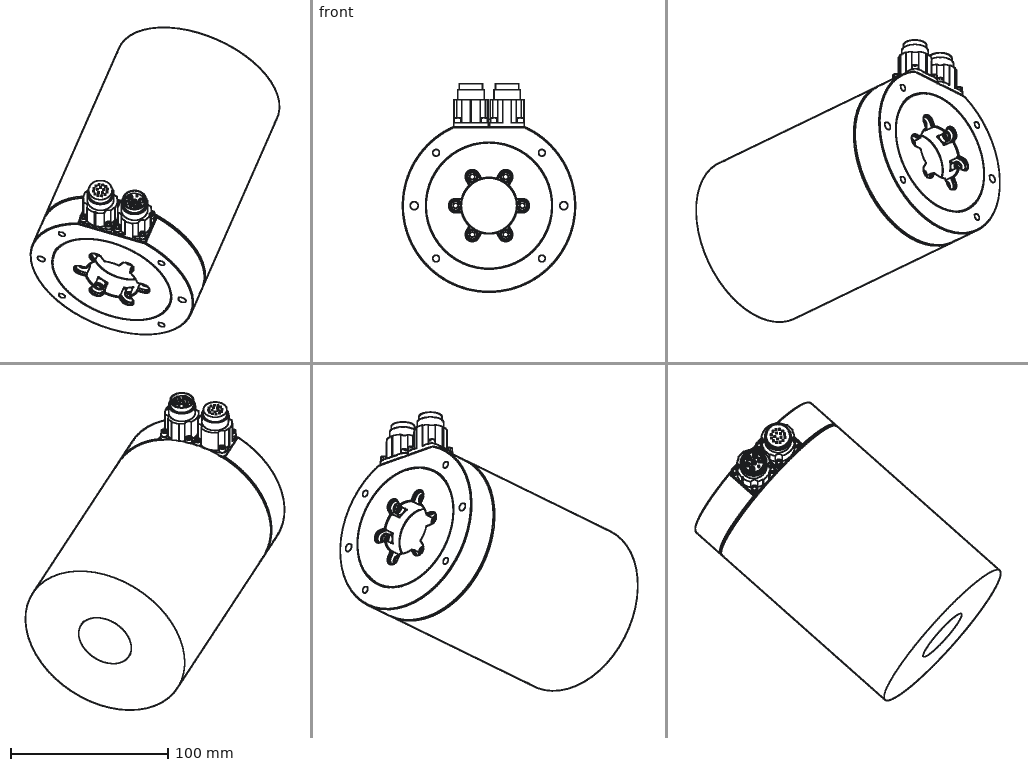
import cadquery as cq
import math


total_length = 163.0
body_dia = 110.0
neck_dia = 100.0
flange_length = 22.0
neck_gap = 1.0
flange_chamfer = 0.5
seat_height = 50.0

bore_dia = 35.0
rear_bore_dia = 36.3
front_bore_depth = 15.0
bore_rim_chamfer = 0.5
rotor_dia = 80.2
rotor_gap = 0.5
rotor_gap_depth = 1.6

mount_circle_dia = 95.0
thread_hole_dia = 4.2
pin_hole_dia = 5.0
mount_hole_depth = 9.8
pin_hole_angles = [0, 180]
thread_hole_angles = [45, 135, 225, 315]
drill_tip_angle = 118.0

screw_count = 6
screw_circle_dia = 42.4
pocket_width = 8.0
lower_pocket_width = 7.3
upper_pocket_depth = 2.0
pocket_chamfer = 0.5
pocket_depth = 8.0
head_dia = 7.0
head_height = 3.9
head_bevel = 0.7
head_socket_dia = 3.3
head_socket_depth = 2.0

connector_width = 22.0
connector_pitch = 23.0
connector_y = flange_length / 2
plate_thickness = 2.8
plate_corner_radius = 3.1
housing_dia = 21.5
housing_height = 14.5
key_width = 5.2
slit_width = 0.7
slit_depth = 0.7
collar_dia = 17.0
collar_height = 6.4
plug_dia = 15.0
plug_height = 3.9

fixing_offset = 8.5
fixing_head_dia = 4.0
fixing_head_height = 3.0
fixing_socket_dia = 2.5
fixing_socket_depth = 0.8
scoop_radius = 2.6

signal_hole_dia = 1.0
signal_hole_depth = 2.5
signal_outer_count = 12
signal_inner_count = 5
signal_inner_radius = 2.1
contact_radius = 4.4
cup_dia = 14.2
cup_depth = 4.0
insert_dia = 12.7
insert_height = 2.5
power_socket_dia = 3.3
power_socket_depth = 1.6
power_pin_dia = 1.5
power_pin_height = 3.3
power_angles = [30, 150, 210, 270, 330]
earth_pin_dia = 1.0

plate_top = seat_height + plate_thickness
housing_top = plate_top + housing_height
collar_top = housing_top + collar_height
plug_top = collar_top + plug_height
body_front = flange_length + neck_gap


def rod_y(dia, start, length, x=0.0, z=0.0):
    """Cylinder along +Y whose near end is at y = start."""
    return cq.Workplane(cq.Solid.makeCylinder(dia / 2, length, cq.Vector(x, start, z), cq.Vector(0, 1, 0)))


def rod_z(dia, bottom, height, x=0.0, y=0.0):
    """Cylinder along +Z whose lower end is at z = bottom."""
    return cq.Workplane(cq.Solid.makeCylinder(dia / 2, height, cq.Vector(x, y, bottom)))


def polar(radius, angle):
    """Plane coordinates of a point at an angle in degrees."""
    return radius * math.cos(math.radians(angle)), radius * math.sin(math.radians(angle))


def motor_shell():
    """Body, neck and flange with its connector seat, bored through."""
    flange = rod_y(body_dia, 0, flange_length)
    seat_cut = cq.Workplane("XY", origin=(0, connector_y, seat_height)).box(
        body_dia, flange_length, body_dia, centered=(True, True, False)
    )
    flange = flange.cut(seat_cut)
    flange = flange.faces("<Y or >Y").edges().chamfer(flange_chamfer)
    neck = rod_y(neck_dia, flange_length, neck_gap)
    body = rod_y(body_dia, body_front, total_length - body_front)
    shell = body.union(neck).union(flange)
    shell = shell.cut(rod_y(bore_dia, 0, total_length))
    bore_radius = bore_dia / 2
    rim = cq.Solid.makeCone(
        bore_radius + bore_rim_chamfer, bore_radius, bore_rim_chamfer, cq.Vector(), cq.Vector(0, 1, 0)
    )
    shell = shell.cut(cq.Workplane(rim))
    return shell.cut(rod_y(rear_bore_dia, front_bore_depth, total_length - front_bore_depth))


def rotor_groove():
    """Thin annular gap around the rotor face."""
    outer = rod_y(rotor_dia + rotor_gap, 0, rotor_gap_depth)
    return outer.cut(rod_y(rotor_dia - rotor_gap, 0, rotor_gap_depth))


def drilled_hole(dia, start, depth, x, z):
    """Blind hole along +Y with a conical drill tip."""
    tip_length = dia / 2 / math.tan(math.radians(drill_tip_angle / 2))
    tip = cq.Solid.makeCone(dia / 2, 0, tip_length, cq.Vector(x, start + depth, z), cq.Vector(0, 1, 0))
    return rod_y(dia, start, depth, x, z).union(cq.Workplane(tip))


def round_ended_slot(width, depth):
    """Slot along +X from the axis, cut inward from the mounting face, with its round end at the screw."""
    reach = screw_circle_dia / 2
    channel = cq.Workplane("XY", origin=(0, depth / 2, 0)).box(
        reach, depth, width, centered=(False, True, True)
    )
    return channel.union(rod_y(width, 0, depth, reach))


def screw_pocket(angle):
    """Stepped pocket from the bore out past the screw, with a chamfered rim."""
    rim_width = pocket_width + 2 * pocket_chamfer
    rim = round_ended_slot(rim_width, 2 * pocket_chamfer).faces(">Y").chamfer(pocket_chamfer)
    rim = rim.translate((0, -pocket_chamfer, 0))
    pocket = round_ended_slot(pocket_width, upper_pocket_depth).union(rim)
    pocket = pocket.union(round_ended_slot(lower_pocket_width, pocket_depth))
    return pocket.rotate((0, 0, 0), (0, 1, 0), -angle)


def rotor_screw(angle):
    """Socket head screw seated on the pocket floor."""
    x, z = polar(screw_circle_dia / 2, angle)
    head_top = pocket_depth - head_height
    head = rod_y(head_dia, head_top, head_height, x, z).faces("<Y").chamfer(head_bevel)
    return head.cut(drilled_hole(head_socket_dia, head_top, head_socket_depth, x, z))


def connector_housing():
    """Square foot, round housing, collar and plug, centred on the Z axis."""
    plate = (
        cq.Workplane("XY", origin=(0, 0, seat_height))
        .rect(connector_width, connector_width)
        .extrude(plate_thickness)
        .edges("|Z")
        .fillet(plate_corner_radius)
    )
    housing = rod_z(housing_dia, plate_top, housing_height)
    key = cq.Workplane("XY", origin=(0, 0, plate_top)).box(
        connector_width / 2, key_width, housing_height, centered=(False, True, False)
    )
    for angle in (0, 180):
        housing = housing.union(key.rotate((0, 0, 0), (0, 0, 1), angle))
    slit = cq.Workplane("XY", origin=(0, -housing_dia / 2, plate_top)).box(
        slit_width, 2 * slit_depth, housing_height, centered=(True, True, False)
    )
    housing = housing.cut(slit)
    corner = fixing_offset - scoop_radius
    scoop = (
        cq.Workplane("XY", origin=(corner, corner, plate_top))
        .rect(connector_width, connector_width, centered=False)
        .extrude(housing_height)
        .edges("|Z and <X and <Y")
        .fillet(scoop_radius)
    )
    for angle in range(0, 360, 90):
        housing = housing.cut(scoop.rotate((0, 0, 0), (0, 0, 1), angle))
    connector = plate
    for side_x in (-fixing_offset, fixing_offset):
        for side_y in (-fixing_offset, fixing_offset):
            head = rod_z(fixing_head_dia, plate_top, fixing_head_height, side_x, side_y)
            socket_bottom = plate_top + fixing_head_height - fixing_socket_depth
            socket = rod_z(fixing_socket_dia, socket_bottom, fixing_socket_depth, side_x, side_y)
            connector = connector.union(head.cut(socket))
    connector = connector.union(housing)
    connector = connector.union(rod_z(collar_dia, housing_top, collar_height))
    return connector.union(rod_z(plug_dia, collar_top, plug_height))


def signal_connector():
    """Connector with two rings of small contact holes in a flush face."""
    connector = connector_housing()
    for count, radius in (
        (signal_outer_count, contact_radius),
        (signal_inner_count, signal_inner_radius),
    ):
        for index in range(count):
            x, y = polar(radius, 180 + index * 360 / count)
            connector = connector.cut(
                rod_z(signal_hole_dia, plug_top - signal_hole_depth, signal_hole_depth, x, y)
            )
    return connector


def power_connector():
    """Connector with a cup holding six socketed pins and a thin earth pin on a raised insert."""
    cup_floor = plug_top - cup_depth
    floor = cup_floor + insert_height
    connector = connector_housing().rotate((0, 0, 0), (0, 0, 1), 90)
    connector = connector.cut(rod_z(cup_dia, cup_floor, cup_depth))
    connector = connector.union(rod_z(insert_dia, cup_floor, insert_height))
    socket_floor = floor - power_socket_depth
    contacts = [polar(contact_radius, angle) for angle in power_angles] + [(0, 0)]
    for x, y in contacts:
        connector = connector.cut(rod_z(power_socket_dia, socket_floor, power_socket_depth, x, y))
        connector = connector.union(rod_z(power_pin_dia, socket_floor, power_pin_height, x, y))
    earth_pin_height = power_pin_height - power_socket_depth
    return connector.union(rod_z(earth_pin_dia, floor, earth_pin_height, 0, contact_radius))


result = motor_shell().cut(rotor_groove())

for hole_dia, hole_angles in (
    (pin_hole_dia, pin_hole_angles),
    (thread_hole_dia, thread_hole_angles),
):
    for hole_angle in hole_angles:
        hole_x, hole_z = polar(mount_circle_dia / 2, hole_angle)
        result = result.cut(drilled_hole(hole_dia, 0, mount_hole_depth, hole_x, hole_z))

for index in range(screw_count):
    screw_angle = index * 360 / screw_count
    result = result.cut(screw_pocket(screw_angle))
    result = result.union(rotor_screw(screw_angle))

result = result.union(signal_connector().translate((-connector_pitch / 2, connector_y, 0)))
result = result.union(power_connector().translate((connector_pitch / 2, connector_y, 0)))